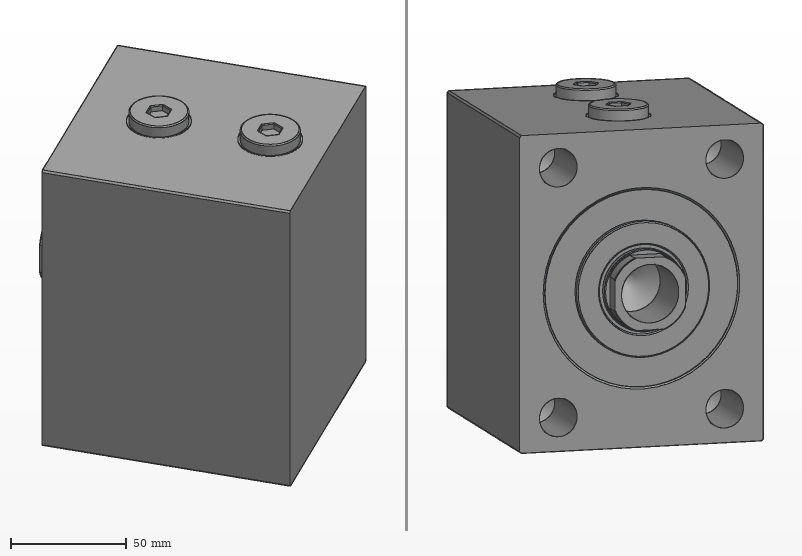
import cadquery as cq
import math

overall_height = 144.9

block_length = 112.6
block_width = 110.0
block_height = 140.0
block_edge_chamfer = 0.9

mount_hole_dia = 17.0
mount_hole_depth = 34.8
mount_spacing_y = 75.0
mount_spacing_z = 110.0
drill_tip_angle = 118.0

gland_radius = 43.5
gland_depth = 29.0
gland_seat_chamfer = 0.9
flange_radius = 30.0
flange_height = 3.0
flange_chamfer = 0.6
wiper_recess_floor_radius = 19.7
wiper_recess_depth = 0.6

rod_radius = 18.3
rod_tip_projection = 13.5
rod_shoulder_projection = 5.7
rod_shoulder_chamfer = 0.5
tip_radius = 17.4
tip_chamfer = 0.3
wrench_flat_width = 31.9
rod_bore_dia = 25.8
rod_bore_depth = 29.0

plug_radius = 13.0
plug_projection = overall_height - block_height
plug_top_chamfer = 0.6
plug_insert_depth = 5.8
plug_first_x = 35.8
plug_pitch = 50.5
plug_seat_radius = 14.0
plug_seat_depth = 0.5
hex_width = 9.0
hex_depth = 2.9
hex_rim_chamfer = 0.5

block_top = block_height / 2
plug_positions = [plug_first_x, plug_first_x + plug_pitch]


def disc_along_x(radius, x_start, x_end):
    """Cylinder on the rod axis between two X positions."""
    return cq.Workplane("YZ", origin=(x_start, 0, 0)).circle(radius).extrude(x_end - x_start)


def drilled_hole(diameter, depth, x_start):
    """Drill shape entering along +X: a straight bore with a conical bottom."""
    radius = diameter / 2
    tip_length = radius / math.tan(math.radians(drill_tip_angle / 2))
    outline = [
        (x_start, 0),
        (x_start, radius),
        (x_start + depth, radius),
        (x_start + depth + tip_length, 0),
    ]
    return cq.Workplane("XY").polyline(outline).close().revolve(360, (0, 0, 0), (1, 0, 0))


def seat_cone(radius, chamfer, x_start):
    """Conical recess that narrows at 45 degrees along +X down to the given radius."""
    outline = [
        (x_start, 0),
        (x_start, radius + chamfer),
        (x_start + chamfer, radius),
        (x_start + chamfer, 0),
    ]
    return cq.Workplane("XY").polyline(outline).close().revolve(360, (0, 0, 0), (1, 0, 0))


def make_block():
    """Rectangular block with mounting holes and seats for the gland and the plugs."""
    block = cq.Workplane("XY").box(block_length, block_width, block_height, centered=(False, True, True))
    block = block.edges("|X").chamfer(block_edge_chamfer)

    for side_y in (-1, 1):
        for side_z in (-1, 1):
            hole = drilled_hole(mount_hole_dia, mount_hole_depth, 0)
            block = block.cut(hole.translate((0, side_y * mount_spacing_y / 2, side_z * mount_spacing_z / 2)))

    block = block.cut(disc_along_x(gland_radius, 0, gland_depth))
    block = block.cut(seat_cone(gland_radius, gland_seat_chamfer, 0))

    for x in plug_positions:
        top_plane = cq.Workplane("XY", origin=(x, 0, block_top))
        block = block.cut(top_plane.circle(plug_radius).extrude(-plug_insert_depth))
        block = block.cut(top_plane.circle(plug_seat_radius).extrude(-plug_seat_depth))
    return block


def make_gland():
    """Flanged ring that fills the block seat and guides the rod."""
    flange = disc_along_x(flange_radius, -flange_height, 0).faces("<X").edges().chamfer(flange_chamfer)
    gland = disc_along_x(gland_radius, 0, gland_depth).union(flange)
    gland = gland.cut(disc_along_x(rod_radius, -flange_height, gland_depth))
    return gland.cut(seat_cone(wiper_recess_floor_radius, wiper_recess_depth, -flange_height))


def make_rod():
    """Stepped rod with a wrench-flatted, bored tip, ending level with the gland."""
    shank = disc_along_x(rod_radius, -rod_shoulder_projection, gland_depth)
    shank = shank.faces("<X").edges().chamfer(rod_shoulder_chamfer)

    tip = disc_along_x(tip_radius, -rod_tip_projection, -rod_shoulder_projection)
    tip = tip.faces("<X").edges().chamfer(tip_chamfer)
    flats = cq.Workplane("XY").box(2 * rod_tip_projection, wrench_flat_width, wrench_flat_width)
    tip = tip.intersect(flats)

    return shank.union(tip).cut(drilled_hole(rod_bore_dia, rod_bore_depth, -rod_tip_projection))


def hex_across_corners(across_flats):
    """Corner-to-corner size of a hexagon of the given width across its flats."""
    return across_flats / math.cos(math.pi / 6)


def make_plug(x):
    """Round plug at the given X position with a hexagonal socket in its top."""
    bottom = cq.Workplane("XY", origin=(x, 0, block_top - plug_insert_depth))
    plug = bottom.circle(plug_radius).extrude(plug_insert_depth + plug_projection)
    plug = plug.faces(">Z").edges().chamfer(plug_top_chamfer)

    socket_plane = cq.Workplane("XY", origin=(x, 0, block_top + plug_projection))
    socket_plane = socket_plane.transformed(rotate=(0, 0, 90))
    socket = socket_plane.polygon(6, hex_across_corners(hex_width)).extrude(-hex_depth)
    rim_corners = hex_across_corners(hex_width + 2 * hex_rim_chamfer)
    rim = socket_plane.polygon(6, rim_corners).extrude(-hex_rim_chamfer, taper=45)
    return plug.cut(socket).cut(rim)


block = make_block()
gland = make_gland()
rod = make_rod()
plugs = [make_plug(x) for x in plug_positions]

result = cq.Compound.makeCompound([block.val(), gland.val(), rod.val(), *[plug.val() for plug in plugs]])